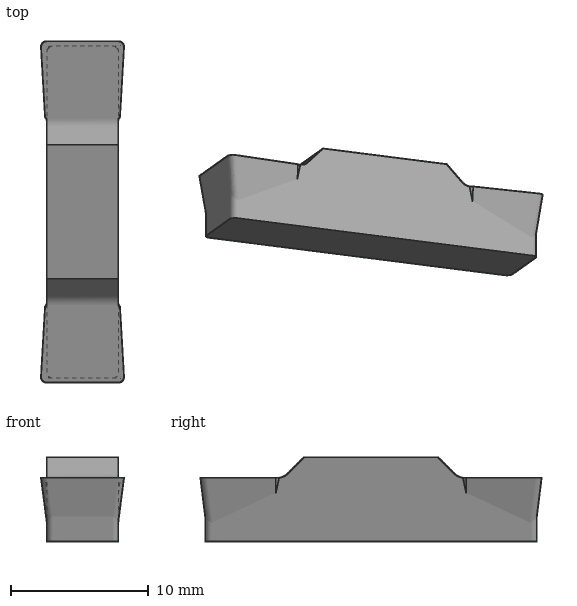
import cadquery as cq
import math

total_length = 24.81
total_height = 6.14
body_width = 5.2
corner_radius = 0.42

rake_height = 4.65
relief_angle = 7.0
front_relief_height = 2.81
edge_width = 6.1
side_taper_angle = 3.3
head_length = 5.5
back_angle = 30.0
back_inset = 0.3
head_base_height = 1.0

blend_start = 5.63
blend_radius = 1.0
slope_angle = 45.0

half_length = total_length / 2
relief_slope = math.tan(math.radians(relief_angle))
body_end = half_length - front_relief_height * relief_slope


def make_body():
    """Prism with a raised middle and rounded vertical corners."""
    slope = math.radians(slope_angle)
    blend_foot = half_length - blend_start

    def blend_point(angle):
        """Point on the blend arc (Y, Z), turned by an angle from its foot."""
        y = blend_foot - blend_radius * math.sin(angle)
        z = rake_height + blend_radius * (1 - math.cos(angle))
        return y, z

    mid_y, mid_z = blend_point(slope / 2)
    end_y, end_z = blend_point(slope)
    crest = end_y - (total_height - end_z) / math.tan(slope)

    profile = (
        cq.Workplane("YZ")
        .moveTo(-body_end, 0)
        .lineTo(body_end, 0)
        .lineTo(body_end, rake_height)
        .lineTo(blend_foot, rake_height)
        .threePointArc((mid_y, mid_z), (end_y, end_z))
        .lineTo(crest, total_height)
        .lineTo(-crest, total_height)
        .lineTo(-end_y, end_z)
        .threePointArc((-mid_y, mid_z), (-blend_foot, rake_height))
        .lineTo(-body_end, rake_height)
        .close()
    )
    body = profile.extrude(body_width / 2, both=True)
    return body.edges("|Z").fillet(corner_radius)


def head_outline(height):
    """Outline (X, Y) of the head at the -Y end, at the given height."""
    relief = (rake_height - height) * relief_slope
    taper = math.tan(math.radians(side_taper_angle))

    front_y = -half_length + relief
    side_end_y = -half_length + head_length
    back_y = side_end_y + back_inset / math.tan(math.radians(back_angle))

    front_x = edge_width / 2 - relief - relief * taper
    side_end_x = edge_width / 2 - relief - head_length * taper
    back_x = side_end_x - back_inset

    right_side = [(front_x, front_y), (side_end_x, side_end_y), (back_x, back_y)]
    left_side = [(-x, y) for x, y in reversed(right_side)]
    return right_side + left_side


def make_head():
    """Cutting head at the -Y end, with flat relief faces and rounded front corners."""
    head = (
        cq.Workplane("XY", origin=(0, 0, head_base_height))
        .polyline(head_outline(head_base_height))
        .close()
        .workplane(offset=rake_height - head_base_height)
        .polyline(head_outline(rake_height))
        .close()
        .loft(ruled=True)
    )
    corner_height = (head_base_height + rake_height) / 2
    front_x, front_y = head_outline(corner_height)[0]
    for side in (1, -1):
        corner = cq.selectors.NearestToPointSelector((side * front_x, front_y, corner_height))
        head = head.edges(corner).fillet(corner_radius)
    return head


head = make_head()
result = make_body().union(head).union(head.mirror("XZ")).clean()